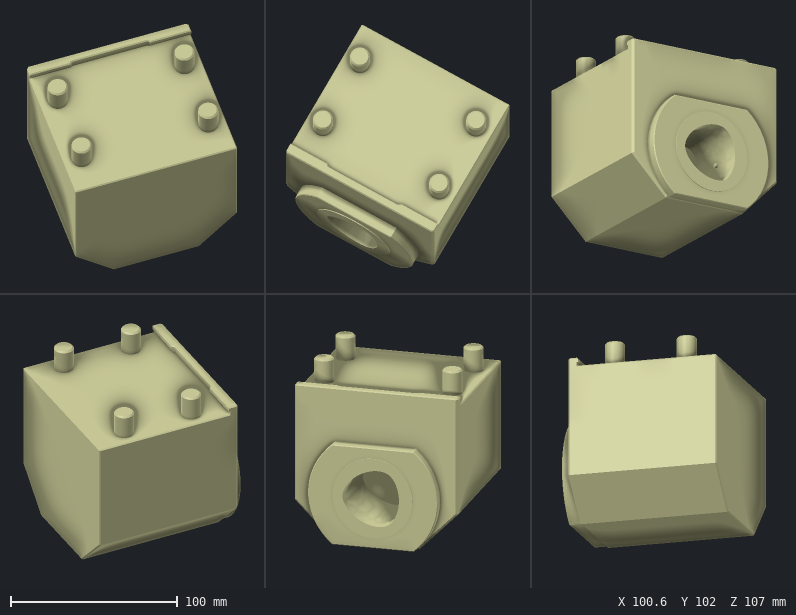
import cadquery as cq
import math


overall_length = 100.6
body_front_x = 7.5
body_half_width = 51.0
body_top_z = 60.0
body_bottom_z = -32.0
corner_cut = 24.0
front_chamfer = 1.3
edge_chamfer = 0.7

ridge_height = 5.0
ridge_thickness = 6.3
ridge_chamfer = 0.7
relief_depth = 1.4
relief_half_width = 25.5
relief_corner_radius = 2.5
undercut_depth = 0.8
undercut_height = 2.0

pin_diameter = 12.0
pin_height = 15.0
pin_chamfer = 1.0
first_pin_x = 33.7
pin_spacing_x = 45.0
pin_half_spacing_y = 40.0

flange_radius = 40.5
flange_half_height = 31.5
flange_chamfer = 0.5
face_diameter = 50.0
face_height = 0.5

socket_mean_radius = 17.6
socket_lobe = 1.15
socket_depth = 40.0
socket_taper = 1.0 / 40.0
socket_points = 36
key_diameter = 3.0
key_tip_y = -14.4
key_root_y = -20.0
key_x = socket_depth / 2

overlap = 1.0

body_length = overall_length - body_front_x
ridge_top_z = body_top_z + ridge_height
ridge_back_x = body_front_x + ridge_thickness
full_width = 2 * body_half_width


def make_body():
    """Block with cut lower edges and a plain ridge, chamfered around its front and rear faces."""
    shoulder_z = body_bottom_z + corner_cut
    foot_half_width = body_half_width - corner_cut
    outline = [
        (-body_half_width, ridge_top_z),
        (-body_half_width, shoulder_z),
        (-foot_half_width, body_bottom_z),
        (foot_half_width, body_bottom_z),
        (body_half_width, shoulder_z),
        (body_half_width, ridge_top_z),
    ]
    body = (
        cq.Workplane("YZ", origin=(body_front_x, 0, 0))
        .polyline(outline)
        .close()
        .extrude(body_length)
    )
    body = body.faces("<X").edges("not >Z").chamfer(front_chamfer)

    above_top = (
        cq.Workplane("XY", origin=(ridge_back_x, 0, body_top_z))
        .rect(2 * body_length, 2 * full_width)
        .extrude(2 * ridge_height)
        .translate((body_length, 0, 0))
    )
    body = body.cut(above_top)
    return body.faces(">X").chamfer(edge_chamfer)


def shape_ridge(body):
    """Cut the middle relief, chamfer the rim of the ridge top and groove its foot."""
    relief_length = relief_depth + 4 * relief_corner_radius
    relief = (
        cq.Workplane("XY", origin=(ridge_back_x - relief_depth + relief_length / 2, 0, body_top_z))
        .rect(relief_length, 2 * relief_half_width)
        .extrude(2 * ridge_height)
        .edges("|Z")
        .fillet(relief_corner_radius)
    )
    body = body.cut(relief)
    body = body.faces(">Z").chamfer(ridge_chamfer)

    undercut = cq.Workplane("XY").box(
        undercut_depth,
        full_width,
        undercut_height,
        centered=(False, True, False),
    )
    return body.cut(undercut.translate((ridge_back_x - undercut_depth, 0, body_top_z)))


def chamfer_top_sides(body):
    """Chamfer the long side edges of the top face, up to the foot of the ridge."""
    side_top_edges = cq.selectors.BoxSelector(
        (ridge_back_x, -full_width, body_top_z - edge_chamfer / 2),
        (overall_length - edge_chamfer, full_width, body_top_z + edge_chamfer / 2),
    )
    return body.edges("|X").edges(side_top_edges).chamfer(edge_chamfer)


def make_pins():
    """Four chamfered locating pins standing on the top face."""
    centers = [
        (first_pin_x + column * pin_spacing_x, side * pin_half_spacing_y)
        for column in (0, 1)
        for side in (-1, 1)
    ]
    return (
        cq.Workplane("XY", origin=(0, 0, body_top_z - overlap))
        .pushPoints(centers)
        .circle(pin_diameter / 2)
        .extrude(pin_height + overlap)
        .faces(">Z")
        .chamfer(pin_chamfer)
    )


def make_flange():
    """Round flange with flats above and below, carrying the raised clamping face."""
    thickness = body_front_x - face_height
    flats = cq.Workplane("XY").box(4 * thickness, 4 * flange_radius, 2 * flange_half_height)
    flange = (
        cq.Workplane("YZ", origin=(face_height, 0, 0))
        .circle(flange_radius)
        .extrude(thickness + overlap)
        .intersect(flats)
        .faces("<X")
        .chamfer(flange_chamfer)
    )
    clamping_face = cq.Workplane("YZ").circle(face_diameter / 2).extrude(face_height + overlap)
    return flange.union(clamping_face)


def lobed_point(angle, mean_radius):
    """Point of the three-lobed profile whose normal lies at the angle; one lobe points to +Y."""
    support = mean_radius + socket_lobe * math.cos(3 * angle)
    slope = -3 * socket_lobe * math.sin(3 * angle)
    y = support * math.cos(angle) - slope * math.sin(angle)
    z = support * math.sin(angle) + slope * math.cos(angle)
    return (y, z)


def lobed_outline(mean_radius):
    """Points around the three-lobed profile."""
    step = 2 * math.pi / socket_points
    return [lobed_point(index * step, mean_radius) for index in range(socket_points)]


def make_socket():
    """Tapered three-lobed recess, narrowing towards its flat floor."""
    floor_radius = socket_mean_radius - socket_taper * socket_depth
    return (
        cq.Workplane("YZ")
        .spline(lobed_outline(socket_mean_radius), periodic=True)
        .close()
        .workplane(offset=socket_depth)
        .spline(lobed_outline(floor_radius), periodic=True)
        .close()
        .loft(ruled=True)
    )


def make_key_pin():
    """Radial pin that projects into the socket from its -Y side."""
    return (
        cq.Workplane("XZ", origin=(key_x, key_tip_y, 0))
        .circle(key_diameter / 2)
        .extrude(key_tip_y - key_root_y)
    )


result = (
    chamfer_top_sides(shape_ridge(make_body()))
    .union(make_pins())
    .union(make_flange())
    .cut(make_socket())
    .union(make_key_pin())
)